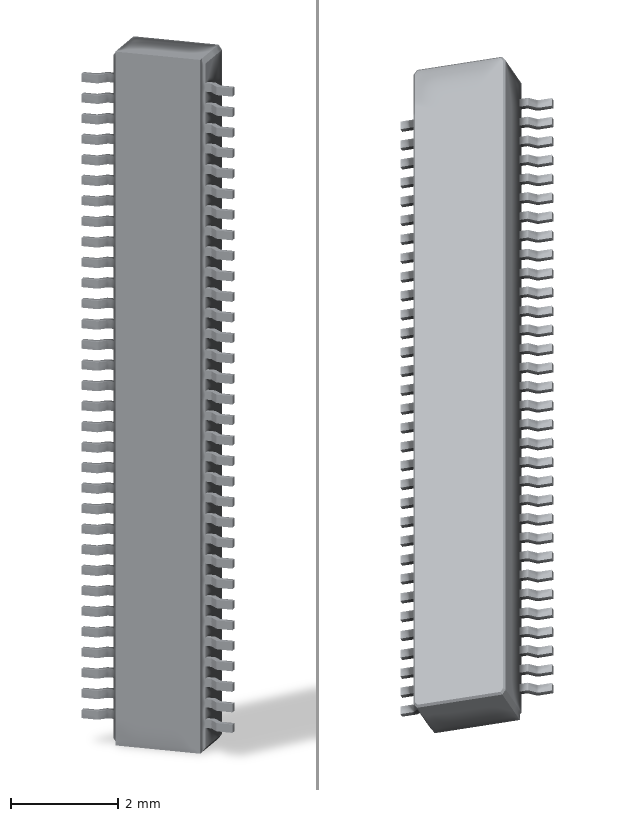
import cadquery as cq
import math


length = 13.52
lead_span = 2.97
height = 1.14

housing_width = 1.81
base_width = 1.68
standoff = 0.04
step_height = 0.15
side_inset = (housing_width - base_width) / 2
end_bevel = 0.1
top_bevel = 0.04

leads_per_side = 32
lead_row_length = 12.4
lead_pitch = lead_row_length / (leads_per_side - 1)
lead_width = 0.16
lead_thickness = 0.11
shoulder_bottom = step_height
shoulder_end = 1.07
lead_embed = 0.14
shoulder_bend_radius = 0.04
foot_bend_radius = 0.07
bend_angle = math.radians(45)


def make_housing():
    """Wide bevelled block standing on a slightly narrower base."""
    base = cq.Workplane("XY").box(
        base_width, step_height - standoff, length, centered=(True, False, True)
    ).translate((0, standoff, 0))

    block = cq.Workplane("XY").box(
        housing_width, height - step_height, length, centered=(True, False, True)
    ).translate((0, step_height, 0))
    block = block.faces("<Z or >Z").edges("|Y").chamfer(end_bevel, side_inset)
    block = block.faces(">Y").chamfer(top_bevel)
    return block.union(base)


def round_bend(lead, x, y, radius):
    """Fillet the lead edge that runs along Z through (x, y)."""
    edge = cq.selectors.NearestToPointSelector((x, y, 0))
    return lead.edges("|Z").edges(edge).fillet(radius)


def make_lead():
    """Gull-wing lead on the +X side, centred on Z = 0."""
    lead_tip = lead_span / 2
    shoulder_root = base_width / 2 - lead_embed
    shoulder_top = shoulder_bottom + lead_thickness
    foot_start = shoulder_end + shoulder_bottom / math.tan(bend_angle)
    bend_offset = lead_thickness * math.tan(bend_angle / 2)
    outline = [
        (shoulder_root, shoulder_bottom),
        (shoulder_end - bend_offset, shoulder_bottom),
        (foot_start - bend_offset, 0),
        (lead_tip, 0),
        (lead_tip, lead_thickness),
        (foot_start, lead_thickness),
        (shoulder_end, shoulder_top),
        (shoulder_root, shoulder_top),
    ]
    lead = cq.Workplane("XY").polyline(outline).close().extrude(lead_width / 2, both=True)
    lead = round_bend(lead, shoulder_end, shoulder_top, shoulder_bend_radius)
    lead = round_bend(lead, shoulder_end - bend_offset, shoulder_bottom, shoulder_bend_radius)
    lead = round_bend(lead, foot_start, lead_thickness, foot_bend_radius)
    return round_bend(lead, foot_start - bend_offset, 0, foot_bend_radius)


def make_lead_rows():
    """Two mirrored rows of evenly spaced leads."""
    right_lead = make_lead()
    left_lead = right_lead.mirror("YZ")
    first_z = -lead_row_length / 2
    leads = []
    for index in range(leads_per_side):
        offset = (0, 0, first_z + index * lead_pitch)
        leads.append(right_lead.translate(offset).val())
        leads.append(left_lead.translate(offset).val())
    return leads


housing = make_housing().val()
result = cq.Workplane("XY").newObject([housing.fuse(*make_lead_rows())])